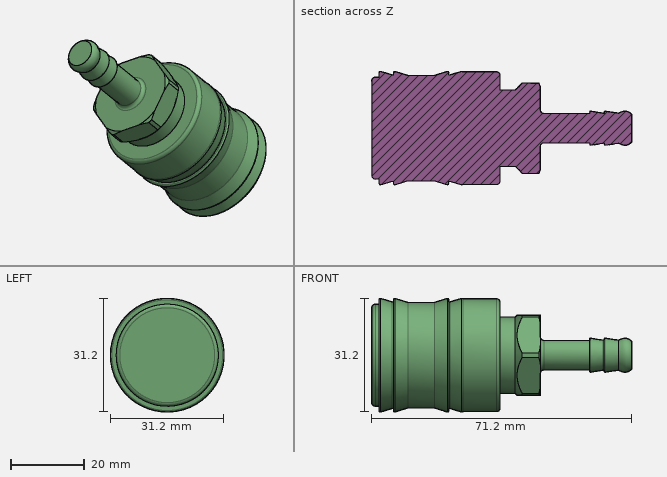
import cadquery as cq
import math

overall_length = 71.2

nose_diameter = 28.0
rim_fillet = 1.0
sleeve_diameter = 31.0
sleeve_end = 35.2

grip_middle = 13.5
ridge_diameter = 31.2
ridge_round = 0.4
waist_diameter = 29.0
groove_diameter = 29.3
waist_half_length = 3.6
inner_ridge_end = 7.6
groove_end = 7.9
outer_ridge_end = 11.55

neck_diameter = 21.0

hex_sides = 6
hex_start = 39.3
hex_end = 46.2
hex_across_flats = 22.0
hex_corner_diameter = 24.8
hex_rear_chamfer_length = 0.4
hex_rear_chamfer_depth = 1.0

stem_diameter = 8.1
stem_fillet = 1.0

barb_diameter = 9.4
barb_root_diameter = 8.3
barb_round = 0.3
first_barb_start = 59.7
first_barb_end = 63.3
second_barb_start = 63.7
second_barb_end = 67.6

bulb_crest = 69.45
bulb_diameter = 9.4
bulb_end_diameter = 7.55
bulb_start_slope = 0.5
bulb_end_slope = -1.3


def revolve_about_x(outline):
    """Turn a closed outline of (x, radius) about the X axis."""
    return outline.revolve(360, (0, 0, 0), (1, 0, 0))


def quarter_round(outline, start, end, center):
    """Add a quarter circle from start to end to an outline that has reached start."""
    radius = math.dist(start, center)
    corner = (start[0] + end[0] - center[0], start[1] + end[1] - center[1])
    reach = radius / math.dist(corner, center)
    middle = tuple(c + reach * (k - c) for c, k in zip(center, corner))
    return outline.threePointArc(middle, end)


def add_rounded_step_up(outline, step_x, top_radius, round_radius):
    """Rise at step_x to top_radius, with the top corner rounded."""
    round_start = (step_x, top_radius - round_radius)
    round_end = (step_x + round_radius, top_radius)
    center = (step_x + round_radius, top_radius - round_radius)
    return quarter_round(outline.lineTo(*round_start), round_start, round_end, center)


def make_sleeve():
    nose_radius = nose_diameter / 2
    sleeve_radius = sleeve_diameter / 2
    ridge_radius = ridge_diameter / 2
    groove_radius = groove_diameter / 2
    waist_radius = waist_diameter / 2

    outline = cq.Workplane("XY").lineTo(0, nose_radius).lineTo(grip_middle - outer_ridge_end, nose_radius)
    outline = add_rounded_step_up(outline, grip_middle - outer_ridge_end, ridge_radius, ridge_round)
    outline = outline.lineTo(grip_middle - groove_end, groove_radius)
    outline = outline.lineTo(grip_middle - inner_ridge_end, groove_radius)
    outline = add_rounded_step_up(outline, grip_middle - inner_ridge_end, ridge_radius, ridge_round)
    outline = outline.lineTo(grip_middle - waist_half_length, waist_radius)

    inner_round_start = (grip_middle + inner_ridge_end - ridge_round, ridge_radius)
    inner_round_end = (grip_middle + inner_ridge_end, ridge_radius - ridge_round)
    inner_round_center = (inner_round_start[0], inner_round_end[1])
    outline = outline.lineTo(grip_middle + waist_half_length, waist_radius).lineTo(*inner_round_start)
    outline = quarter_round(outline, inner_round_start, inner_round_end, inner_round_center)
    outline = (
        outline.lineTo(grip_middle + inner_ridge_end, groove_radius)
        .lineTo(grip_middle + groove_end, groove_radius)
        .lineTo(grip_middle + outer_ridge_end - ridge_round, ridge_radius)
        .lineTo(grip_middle + outer_ridge_end, sleeve_radius)
        .lineTo(sleeve_end, sleeve_radius)
        .lineTo(sleeve_end, 0)
        .close()
    )
    sleeve = revolve_about_x(outline)
    return sleeve.faces("<X or >X").edges().fillet(rim_fillet)


def make_neck():
    overlap = 0.7
    length = hex_start - sleeve_end + 2 * overlap
    neck = cq.Workplane("YZ", origin=(sleeve_end - overlap, 0, 0)).circle(neck_diameter / 2)
    return neck.extrude(length)


def make_hexagon():
    across_corners = hex_across_flats / math.cos(math.pi / hex_sides)
    corner_radius = hex_corner_diameter / 2
    front_radius = neck_diameter / 2
    front_chamfer_end = hex_start + corner_radius - front_radius
    prism = cq.Workplane("YZ", origin=(hex_start, 0, 0)).polygon(hex_sides, across_corners)
    prism = prism.extrude(hex_end - hex_start)
    turned_blank = revolve_about_x(
        cq.Workplane("XY")
        .polyline(
            [
                (hex_start, 0),
                (hex_start, front_radius),
                (front_chamfer_end, corner_radius),
                (hex_end - hex_rear_chamfer_length, corner_radius),
                (hex_end, corner_radius - hex_rear_chamfer_depth),
                (hex_end, 0),
            ]
        )
        .close()
    )
    return prism.intersect(turned_blank)


def make_stem():
    stem_radius = stem_diameter / 2
    barb_radius = barb_diameter / 2
    root_radius = barb_root_diameter / 2

    fillet_start = (hex_end, stem_radius + stem_fillet)
    fillet_end = (hex_end + stem_fillet, stem_radius)
    fillet_center = (fillet_end[0], fillet_start[1])
    outline = cq.Workplane("XY").moveTo(hex_end, 0).lineTo(*fillet_start)
    outline = quarter_round(outline, fillet_start, fillet_end, fillet_center)

    outline = outline.lineTo(first_barb_start, stem_radius)
    outline = add_rounded_step_up(outline, first_barb_start, barb_radius, barb_round)
    outline = outline.lineTo(first_barb_end, root_radius).lineTo(second_barb_start, root_radius)
    outline = add_rounded_step_up(outline, second_barb_start, barb_radius, barb_round)
    outline = outline.lineTo(second_barb_end, root_radius)

    outline = outline.spline(
        [(bulb_crest, bulb_diameter / 2), (overall_length, bulb_end_diameter / 2)],
        tangents=[(1, bulb_start_slope), (1, bulb_end_slope)],
        includeCurrent=True,
    )
    return revolve_about_x(outline.lineTo(overall_length, 0).close())


result = make_sleeve().union(make_neck()).union(make_hexagon()).union(make_stem())